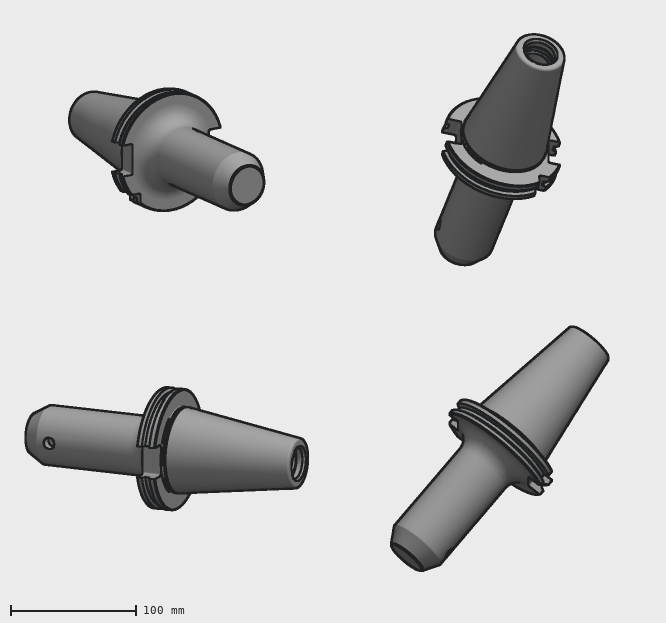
import cadquery as cq
import math

TOTAL_LENGTH = 231.5

GAUGE_RADIUS = 35.0
GAUGE_X = 101.7
TAPER_SLOPE = 7 / 48
TAPER_END_X = 101.0
TAIL_FILLET = 2.0

RELIEF_DEPTH = 0.5
RELIEF_FLOOR_START_X = 102.4
RELIEF_FILLET = 1.2

FLANGE_DIAMETER = 97.5
FLANGE_RADIUS = FLANGE_DIAMETER / 2
FLANGE_FRONT_X = 105.0
FLANGE_BACK_X = 120.7
FLANGE_CHAMFER = 0.7
GROOVE_CENTER_X = 113.0
GROOVE_FLOOR_RADIUS = 45.6
GROOVE_FLOOR_WIDTH = 3.5
GROOVE_MOUTH_WIDTH = 6.5

SLOT_WIDTH = 25.7
SLOT_FLOOR_PLUS_Y = 35.2
SLOT_FLOOR_MINUS_Y = 37.3
SLOT_FILLET = 1.6
NOTCH_OFFSET = 29.6
NOTCH_FILLET = 1.9

SHANK_RADIUS = 24.0
NECK_FILLET = 15.0
NOSE_START_X = 218.2
NOSE_ANGLE = math.radians(30)
NOSE_CHAMFER = 0.7
NOSE_FILLET = 1.5

MOUTH_RADIUS = 14.1
MOUTH_CHAMFER = 0.5
LEAD_END_X = 2.3
PILOT_RADIUS = 12.5
PILOT_END_X = 7.5
THREAD_RADIUS = 12.0
THREAD_RELIEF_END_X = 11.3
CORE_RADIUS = 10.5
BORE_END_X = 51.0
DRILL_TIP_ANGLE = math.radians(59)

SCREW_X = 207.3
SCREW_RADIUS = 4.6
SCREW_DEPTH = 9.3


def taper_radius(x):
    return GAUGE_RADIUS - (GAUGE_X - x) * TAPER_SLOPE


def revolve_about_x(profile):
    return profile.close().revolve(360, (0, 0, 0), (1, 0, 0))


def make_body():
    collar_radius = taper_radius(TAPER_END_X)
    relief_radius = collar_radius - RELIEF_DEPTH
    neck_end_x = FLANGE_BACK_X + NECK_FILLET
    neck_top = SHANK_RADIUS + NECK_FILLET
    nose_radius = SHANK_RADIUS - (TOTAL_LENGTH - NOSE_START_X) * math.tan(NOSE_ANGLE)
    profile = (
        cq.Workplane("XY")
        .lineTo(0, taper_radius(0))
        .lineTo(TAPER_END_X, collar_radius)
        .lineTo(RELIEF_FLOOR_START_X, relief_radius)
        .lineTo(FLANGE_FRONT_X - RELIEF_FILLET, relief_radius)
        .radiusArc((FLANGE_FRONT_X, relief_radius + RELIEF_FILLET), -RELIEF_FILLET)
        .lineTo(FLANGE_FRONT_X, FLANGE_RADIUS)
        .lineTo(FLANGE_BACK_X, FLANGE_RADIUS)
        .lineTo(FLANGE_BACK_X, neck_top)
        .radiusArc((neck_end_x, SHANK_RADIUS), -NECK_FILLET)
        .lineTo(NOSE_START_X, SHANK_RADIUS)
        .lineTo(TOTAL_LENGTH, nose_radius)
        .lineTo(TOTAL_LENGTH, 0)
    )
    body = revolve_about_x(profile)
    body = body.faces("<X").edges().fillet(TAIL_FILLET)
    body = body.faces(">X").edges().chamfer(NOSE_CHAMFER)
    nose_corner = cq.selectors.NearestToPointSelector((NOSE_START_X, 0, 0))
    body = body.edges("%CIRCLE").edges(nose_corner).fillet(NOSE_FILLET)
    rim = cq.selectors.RadiusNthSelector(-1)
    return body.edges("%CIRCLE").edges(rim).chamfer(FLANGE_CHAMFER)


def make_groove():
    half_floor = GROOVE_FLOOR_WIDTH / 2
    half_mouth = GROOVE_MOUTH_WIDTH / 2
    profile = (
        cq.Workplane("XY")
        .moveTo(GROOVE_CENTER_X - half_floor, GROOVE_FLOOR_RADIUS)
        .lineTo(GROOVE_CENTER_X - half_mouth, FLANGE_RADIUS)
        .lineTo(GROOVE_CENTER_X + half_mouth, FLANGE_RADIUS)
        .lineTo(GROOVE_CENTER_X + half_floor, GROOVE_FLOOR_RADIUS)
    )
    return revolve_about_x(profile)


def make_slot(floor_y, side):
    """Drive slot open towards +Y (side = 1) or -Y (side = -1)."""
    length = FLANGE_BACK_X - FLANGE_FRONT_X + NECK_FILLET
    slot = cq.Workplane("XY").box(length, FLANGE_RADIUS, SLOT_WIDTH, centered=(False, True, True))
    slot = slot.translate((FLANGE_FRONT_X, side * (floor_y + FLANGE_RADIUS / 2), 0))
    floor = "<Y" if side > 0 else ">Y"
    return slot.faces(floor).edges("|X").fillet(SLOT_FILLET)


def make_notch():
    length = FLANGE_BACK_X - FLANGE_FRONT_X
    notch = cq.Workplane("XY").box(length, FLANGE_RADIUS, FLANGE_RADIUS, centered=False)
    corner = -NOTCH_OFFSET - FLANGE_RADIUS
    notch = notch.translate((FLANGE_FRONT_X, corner, corner))
    return notch.edges("|X and >Y and >Z").fillet(NOTCH_FILLET)


def make_bore():
    pilot_step = PILOT_RADIUS - THREAD_RADIUS
    core_step = THREAD_RADIUS - CORE_RADIUS
    tip_x = BORE_END_X + CORE_RADIUS / math.tan(DRILL_TIP_ANGLE)
    profile = (
        cq.Workplane("XY")
        .lineTo(0, MOUTH_RADIUS)
        .lineTo(MOUTH_CHAMFER, MOUTH_RADIUS - MOUTH_CHAMFER)
        .lineTo(LEAD_END_X, PILOT_RADIUS)
        .lineTo(PILOT_END_X, PILOT_RADIUS)
        .lineTo(PILOT_END_X + pilot_step, THREAD_RADIUS)
        .lineTo(THREAD_RELIEF_END_X, THREAD_RADIUS)
        .lineTo(THREAD_RELIEF_END_X + core_step, CORE_RADIUS)
        .lineTo(BORE_END_X, CORE_RADIUS)
        .lineTo(tip_x, 0)
    )
    return revolve_about_x(profile)


def make_screw_hole():
    hole = cq.Workplane("XZ").center(SCREW_X, 0).circle(SCREW_RADIUS).extrude(-SCREW_DEPTH)
    return hole.translate((0, SHANK_RADIUS - SCREW_DEPTH, 0))


result = (
    make_body()
    .cut(make_groove())
    .cut(make_slot(SLOT_FLOOR_PLUS_Y, 1))
    .cut(make_slot(SLOT_FLOOR_MINUS_Y, -1))
    .cut(make_notch())
    .cut(make_bore())
    .cut(make_screw_hole())
)